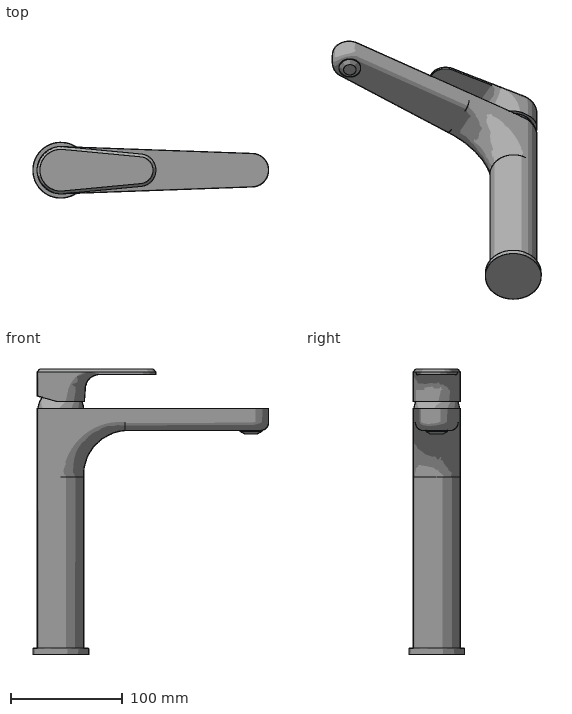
import cadquery as cq
import math

total_height = 255.5
flange_radius = 25.0
flange_height = 5.5
column_radius = 21.2
column_front_x = 20.7
column_flat = column_radius - column_front_x
body_top = 220.2
edge_round = 0.8

spout_tip_x = 186.0
spout_tip_radius = 15.0
spout_tip_center = spout_tip_x - spout_tip_radius
spout_bottom = 200.3
spout_corner = 7.5

bend_start_z = 158.7
bend_end_x = 57.5

dome_radius = 20.7
dome_center_z = 218.0

aerator_center_x = 170.2
aerator_radius = 9.7
aerator_bottom = 197.2
aerator_height = 5.5
aerator_face_radius = 5.5
aerator_taper_height = 2.3

lever_tip_radius = 14.5
lever_tip_x = 85.0
lever_tip_center = lever_tip_x - lever_tip_radius
lever_plate_bottom = 250.5
lever_chamfer = 2.5
lever_bottom = 226.0
lever_rear_bottom = 231.2
lever_rise_start_x = -2.5
neck_front_x = 22.0
neck_foot_front_x = 21.2
neck_bend_z = 236.5
neck_bend_end_x = 33.5
neck_corner = 18.7
neck_foot_corner = 20.5
plate_corner = 0.5

bend_sections = 7
min_flat = 0.3
cutter_overrun = 0.003
cutter_half_width = 30.7


def tangent_sine(tip_radius, tip_center):
    """Sine of the angle at which the sides taper from the column to the tip."""
    return (column_radius - tip_radius) / tip_center


def half_width(x, tip_radius, tip_center):
    """Half-width in Y of the tapered outline at x, ahead of the column axis."""
    sine = tangent_sine(tip_radius, tip_center)
    return (column_radius - sine * max(x, 0.0)) / math.sqrt(1 - sine**2)


def tapered_prism(tip_radius, tip_center, bottom, top):
    """Prism over the column circle, the tip circle and their common tangents."""
    sine = tangent_sine(tip_radius, tip_center)
    cosine = math.sqrt(1 - sine**2)
    root = (column_radius * sine, column_radius * cosine)
    tip = (tip_center + tip_radius * sine, tip_radius * cosine)
    return (
        cq.Workplane("XY", origin=(0, 0, bottom))
        .moveTo(root[0], -root[1])
        .lineTo(tip[0], -tip[1])
        .threePointArc((tip_center + tip_radius, 0), tip)
        .lineTo(*root)
        .threePointArc((-column_radius, 0), (root[0], -root[1]))
        .close()
        .extrude(top - bottom)
    )


def cutter_section(pivot_x, pivot_z, angle, reach, corner, width):
    """Wire in the plane through the pivot line, tilted up from -X by the angle.

    The outline runs out to the reach, and leaves two rounded corners standing on
    a part of the given half-width.
    """
    plane = cq.Plane(
        origin=(pivot_x, 0, pivot_z),
        xDir=(-math.cos(angle), 0, math.sin(angle)),
        normal=(math.sin(angle), 0, math.cos(angle)),
    )
    radius = min(corner, width - min_flat)
    width += cutter_overrun
    shoulder = reach + radius
    arc_mid_reach = shoulder - radius * math.sqrt(0.5)
    arc_mid_width = width - radius + radius * math.sqrt(0.5)
    return (
        cq.Workplane(plane)
        .moveTo(0, -cutter_half_width)
        .lineTo(shoulder, -cutter_half_width)
        .lineTo(shoulder, -width)
        .threePointArc((arc_mid_reach, -arc_mid_width), (reach, radius - width))
        .lineTo(reach, width - radius)
        .threePointArc((arc_mid_reach, arc_mid_width), (shoulder, width))
        .lineTo(shoulder, cutter_half_width)
        .lineTo(0, cutter_half_width)
        .close()
        .val()
    )


def bend_cutter(pivot_x, pivot_z, reaches, corners, tip_radius, tip_center):
    """Space inside a bend, turning from level to upright about the pivot line."""
    wires = []
    for index in range(bend_sections):
        share = index / (bend_sections - 1)
        angle = share * math.pi / 2
        reach = reaches[0] + share * (reaches[1] - reaches[0])
        corner = corners[0] + share * (corners[1] - corners[0])
        shoulder_x = pivot_x - (reach + corner) * math.cos(angle)
        width = half_width(shoulder_x, tip_radius, tip_center)
        wires.append(cutter_section(pivot_x, pivot_z, angle, reach, corner, width))
    return cq.Workplane(cq.Solid.makeLoft(wires))


def space_ahead(start_x, top=total_height):
    """Block over everything ahead of start_x, from the ground to the given level."""
    block = cq.Workplane("XY").box(spout_tip_x, 2 * cutter_half_width, top, centered=(False, True, False))
    return block.translate((start_x, 0, 0))


def make_dome():
    """Ball that the lever rides on."""
    return cq.Workplane("XY").sphere(dome_radius).translate((0, 0, dome_center_z))


def make_aerator():
    """Disc with a tapered lower rim, let into the underside of the spout."""
    profile = [
        (0, aerator_bottom),
        (aerator_face_radius, aerator_bottom),
        (aerator_radius, aerator_bottom + aerator_taper_height),
        (aerator_radius, aerator_bottom + aerator_height),
        (0, aerator_bottom + aerator_height),
    ]
    disc = cq.Workplane("XZ").polyline(profile).close().revolve(360, (0, 0, 0), (0, 1, 0))
    return disc.translate((aerator_center_x, 0, 0))


def make_flange():
    """Round foot under the column."""
    return (
        cq.Workplane("XY")
        .circle(flange_radius)
        .extrude(flange_height)
        .faces(">Z")
        .edges()
        .fillet(edge_round)
    )


def make_body():
    """Column, bend and spout, with the dome on top and a seat for the aerator."""
    column = (
        cq.Workplane("XY", origin=(0, 0, flange_height))
        .moveTo(0, -column_radius)
        .radiusArc((column_front_x, -column_flat), -column_front_x)
        .lineTo(column_front_x, column_flat)
        .radiusArc((0, column_radius), -column_front_x)
        .threePointArc((-column_radius, 0), (0, -column_radius))
        .close()
        .extrude(bend_start_z - flange_height)
    )

    root = tapered_prism(spout_tip_radius, spout_tip_center, bend_start_z, body_top)
    root = root.cut(space_ahead(bend_end_x))
    reaches = (bend_end_x - column_front_x, spout_bottom - bend_start_z)
    corners = (column_front_x, spout_corner)
    bend = bend_cutter(bend_end_x, bend_start_z, reaches, corners, spout_tip_radius, spout_tip_center)
    root = root.cut(bend)

    spout = tapered_prism(spout_tip_radius, spout_tip_center, spout_bottom, body_top)
    spout = spout.faces("<Z").edges().fillet(spout_corner).intersect(space_ahead(bend_end_x))

    body = column.union(root).union(spout)
    body = body.faces(">Z").edges().fillet(edge_round)
    return body.union(make_dome()).cut(make_aerator())


def neck_section(level, front_x, corner):
    """Level section of the space in front of the lever's neck."""
    width = half_width(front_x - corner, lever_tip_radius, lever_tip_center)
    return cutter_section(neck_bend_end_x, level, 0.0, neck_bend_end_x - front_x, corner, width)


def make_lever():
    """Flat handle on a neck that sits over the dome."""
    blank = tapered_prism(lever_tip_radius, lever_tip_center, lever_bottom, total_height)
    blank = blank.faces(">Z").edges().chamfer(lever_chamfer)

    under_plate = space_ahead(neck_bend_end_x, lever_plate_bottom)
    reaches = (neck_bend_end_x - neck_front_x, lever_plate_bottom - neck_bend_z)
    corners = (neck_corner, plate_corner)
    bend = bend_cutter(neck_bend_end_x, neck_bend_z, reaches, corners, lever_tip_radius, lever_tip_center)

    neck_wires = [
        neck_section(lever_bottom, neck_foot_front_x, neck_foot_corner),
        neck_section(neck_bend_z, neck_front_x, neck_corner),
    ]
    neck_surround = cq.Workplane(cq.Solid.makeLoft(neck_wires, True))

    rear_slope = (
        cq.Workplane("XZ")
        .moveTo(lever_rise_start_x, lever_bottom)
        .lineTo(-column_radius, lever_rear_bottom)
        .lineTo(-column_radius, lever_bottom)
        .close()
        .extrude(cutter_half_width, both=True)
    )
    return blank.cut(under_plate).cut(bend).cut(neck_surround).cut(rear_slope).cut(make_dome())


flange = make_flange()
body = make_body()
aerator = make_aerator()
lever = make_lever()

bodies = [flange, body, aerator, lever]
result = cq.Compound.makeCompound([part.solids().val() for part in bodies])